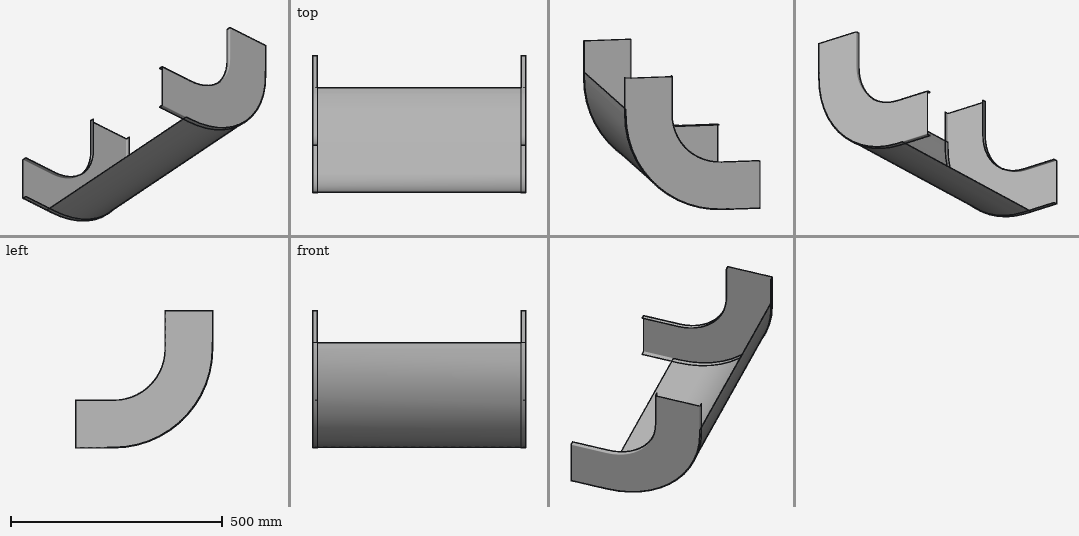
import cadquery as cq
import math

overall_width = 503.0
overall_reach = 323.75
sheet = 1.0
fold_radius = 2.0
flange_width = 11.0
channel_depth = 113.0
channel_leg = 90.0
cover_leg = 15.0

half_width = overall_width / 2
front = -overall_reach / 2
bottom = -overall_reach / 2
channel_radius = overall_reach - channel_leg
elbow_y = front + channel_radius
elbow_z = bottom + channel_radius

cover_half_width = half_width - sheet
cover_outer_radius = channel_radius - sheet
cover_inner_radius = cover_outer_radius - sheet

diagonal = math.sqrt(0.5)


def cover_sheet():
    """Quarter-turn sheet with a short straight leg at both ends."""
    outer_mid = -cover_outer_radius * diagonal
    inner_mid = -cover_inner_radius * diagonal
    return (
        cq.Workplane("YZ", origin=(-cover_half_width, elbow_y, elbow_z))
        .moveTo(-cover_outer_radius, cover_leg)
        .lineTo(-cover_outer_radius, 0)
        .threePointArc((outer_mid, outer_mid), (0, -cover_outer_radius))
        .lineTo(cover_leg, -cover_outer_radius)
        .lineTo(cover_leg, -cover_inner_radius)
        .lineTo(0, -cover_inner_radius)
        .threePointArc((inner_mid, inner_mid), (-cover_inner_radius, 0))
        .lineTo(-cover_inner_radius, cover_leg)
        .close()
        .extrude(2 * cover_half_width)
    )


def channel_section():
    """C-shaped section of the left channel at its upper end, open towards +X."""
    inner_fold_radius = fold_radius - sheet
    web_end = channel_depth - fold_radius
    outer_mid = fold_radius * (1 - diagonal)
    inner_mid = fold_radius - inner_fold_radius * diagonal
    return (
        cq.Workplane("XY", origin=(-half_width, front, elbow_z + channel_leg))
        .moveTo(flange_width, 0)
        .lineTo(fold_radius, 0)
        .threePointArc((outer_mid, outer_mid), (0, fold_radius))
        .lineTo(0, web_end)
        .threePointArc((outer_mid, channel_depth - outer_mid), (fold_radius, channel_depth))
        .lineTo(flange_width, channel_depth)
        .lineTo(flange_width, channel_depth - sheet)
        .lineTo(fold_radius, channel_depth - sheet)
        .threePointArc((inner_mid, channel_depth - inner_mid), (sheet, web_end))
        .lineTo(sheet, fold_radius)
        .threePointArc((inner_mid, inner_mid), (fold_radius, sheet))
        .lineTo(flange_width, sheet)
        .close()
    )


def channel_path():
    """Path of the channel's outer edge: down, around the elbow and back along +Y."""
    arc_mid = -channel_radius * diagonal
    return (
        cq.Workplane("YZ", origin=(-half_width, elbow_y, elbow_z))
        .moveTo(-channel_radius, channel_leg)
        .lineTo(-channel_radius, 0)
        .threePointArc((arc_mid, arc_mid), (0, -channel_radius))
        .lineTo(channel_leg, -channel_radius)
    )


def side_channel(side, cover_body):
    """Elbow-shaped C channel with inward flanges; side is -1 (left) or 1 (right)."""
    channel = channel_section().sweep(channel_path())
    if side > 0:
        channel = channel.mirror("YZ")
    return channel.cut(cover_body).solids()


cover = cover_sheet()
channels = [side_channel(side, cover) for side in (-1, 1)]

result = cq.Compound.makeCompound([cover.val(), *[channel.val() for channel in channels]])